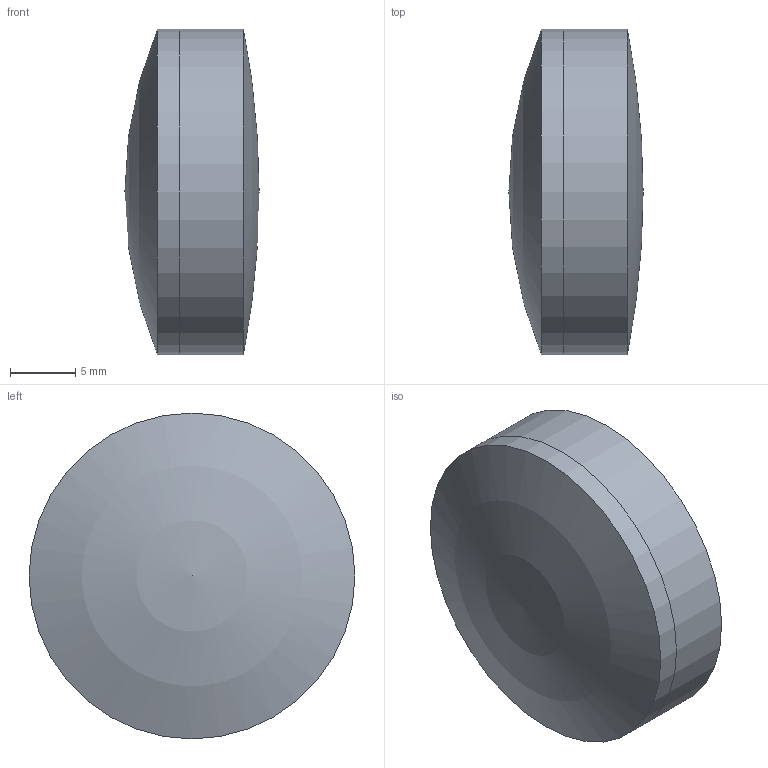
import cadquery as cq

lens_diameter = 25.0
lens_radius = lens_diameter / 2
overall_thickness = 10.3

front_sag = 2.5
front_rim = 1.7
back_sag = 1.2
back_rim = overall_thickness - front_sag - front_rim - back_sag


def cap_radius(sag):
    """Radius of the sphere whose cap has this depth across the lens diameter."""
    return (lens_radius**2 + sag**2) / (2 * sag)


def make_element(rim, sag, side):
    """Plano-convex element: flat at X = 0, convex towards side (-1 or +1) along X."""
    rim_x = side * rim
    apex_x = side * (rim + sag)
    sphere_radius = cap_radius(sag)
    centre_x = apex_x - side * sphere_radius

    mid_height = lens_radius / 2
    mid_x = centre_x + side * (sphere_radius**2 - mid_height**2) ** 0.5

    half_section = (
        cq.Workplane("XZ")
        .lineTo(0, lens_radius)
        .lineTo(rim_x, lens_radius)
        .threePointArc((mid_x, mid_height), (apex_x, 0))
        .close()
    )
    return half_section.revolve(360, (0, 0, 0), (1, 0, 0))


front_element = make_element(front_rim, front_sag, side=-1)
back_element = make_element(back_rim, back_sag, side=1)

result = cq.Compound.makeCompound([front_element.val(), back_element.val()])